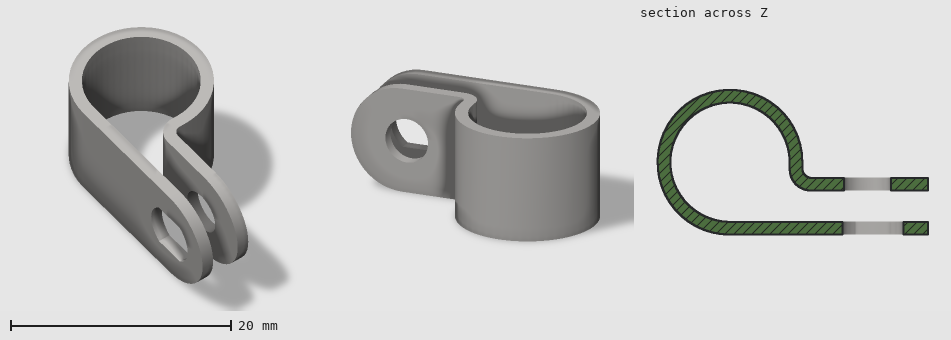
import cadquery as cq
import math

strip_thickness = 1.2
strip_width = 10.0
loop_outer_radius = 6.6
loop_inner_radius = loop_outer_radius - strip_thickness

overall_length = 24.6
tab_end_x = overall_length - loop_outer_radius
tab_end_radius = strip_width / 2
tab_end_center_x = tab_end_x - tab_end_radius
tab_gap = 2.8
rear_tab_inner_y = -loop_inner_radius + tab_gap
rear_tab_outer_y = rear_tab_inner_y + strip_thickness

bend_inner_radius = 0.8
bend_outer_radius = bend_inner_radius + strip_thickness
bend_center_x = loop_outer_radius + bend_inner_radius
bend_center_y = rear_tab_outer_y + bend_inner_radius

round_hole_diameter = 4.2
round_hole_x = 12.5
flatted_hole_diameter = 5.5
flatted_hole_height = 4.5


def mid_bend(radius):
    """Return the middle point of the quarter-circle bend of the given radius."""
    offset = radius * math.cos(math.pi / 4)
    return bend_center_x - offset, bend_center_y - offset


def mid_loop(radius):
    """Return the middle point of the three-quarter loop arc of the given radius."""
    offset = radius * math.cos(math.pi / 4)
    return -offset, offset


def make_strip():
    """Extrude the bent strip: front tab, three-quarter loop, bend, rear tab."""
    return (
        cq.Workplane("XY")
        .workplane(offset=-strip_width / 2)
        .moveTo(tab_end_x, -loop_outer_radius)
        .lineTo(0, -loop_outer_radius)
        .threePointArc(mid_loop(loop_outer_radius), (loop_outer_radius, 0))
        .lineTo(loop_outer_radius, bend_center_y)
        .threePointArc(mid_bend(bend_inner_radius), (bend_center_x, rear_tab_outer_y))
        .lineTo(tab_end_x, rear_tab_outer_y)
        .lineTo(tab_end_x, rear_tab_inner_y)
        .lineTo(bend_center_x, rear_tab_inner_y)
        .threePointArc(mid_bend(bend_outer_radius), (loop_inner_radius, bend_center_y))
        .lineTo(loop_inner_radius, 0)
        .threePointArc(mid_loop(loop_inner_radius), (0, -loop_inner_radius))
        .lineTo(tab_end_x, -loop_inner_radius)
        .close()
        .extrude(strip_width)
    )


def make_side_envelope():
    """Block over the whole part whose +X end is rounded to shape both tab ends."""
    return (
        cq.Workplane("XZ")
        .moveTo(-loop_outer_radius, -strip_width / 2)
        .lineTo(tab_end_center_x, -strip_width / 2)
        .threePointArc((tab_end_x, 0), (tab_end_center_x, strip_width / 2))
        .lineTo(-loop_outer_radius, strip_width / 2)
        .close()
        .extrude(loop_outer_radius, both=True)
    )


def make_round_hole():
    """Cutter for the round hole through the rear tab."""
    return (
        cq.Workplane("XZ", origin=(round_hole_x, rear_tab_outer_y, 0))
        .circle(round_hole_diameter / 2)
        .extrude(strip_thickness)
    )


def make_flatted_hole():
    """Cutter for the front tab hole: a circle with flat top and bottom."""
    plane = cq.Workplane("XZ", origin=(tab_end_center_x, -loop_inner_radius, 0))
    cylinder = plane.circle(flatted_hole_diameter / 2).extrude(strip_thickness)
    flats = plane.rect(flatted_hole_diameter, flatted_hole_height).extrude(strip_thickness)
    return cylinder.intersect(flats)


result = (
    make_strip()
    .intersect(make_side_envelope())
    .cut(make_round_hole())
    .cut(make_flatted_hole())
)